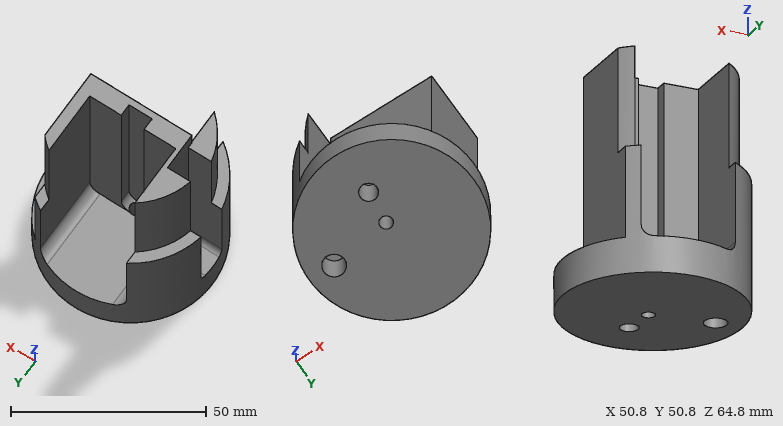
import cadquery as cq

base_height = 10.16
shoulder_height = 35.56
wedge_height = 60.2
top_height = 64.77

base_radius = 25.4
upper_radius = 22.225

tower_left = -14.6
tower_right = 16.65
tower_front = -6.35
wedge_right = -14.4

channel_width = 26.6
channel_front = -0.9
channel_fillet = 3.175

slot_width = 9.525
slot_fillet = 1.5875

groove_width = 7.1
groove_front = -4.5
groove_fillet = 3.175

slot_hole = (-17.8, 0.0, 6.35)
base_hole = (1.0, -12.1, 5.08)
groove_hole = (0.0, -2.55, 3.7)

clearance = 5.0


def block(x_min, x_max, y_min, y_max, z_min, z_max):
    """Box given by its limits along each axis."""
    size = (x_max - x_min, y_max - y_min, z_max - z_min)
    return cq.Workplane("XY").box(*size, centered=False).translate((x_min, y_min, z_min))


def stepped_column(height):
    """Column of base radius up to the shoulder and of smaller radius above it."""
    lower = cq.Workplane("XY").circle(base_radius).extrude(shoulder_height)
    return lower.union(cq.Workplane("XY").circle(upper_radius).extrude(height))


def tower():
    """Main walls, from the front wall back to the round outline."""
    walls = block(-base_radius, tower_right, tower_front, base_radius, 0, top_height)
    outer_front = block(-base_radius, tower_left, tower_front, 0, 0, top_height)
    return stepped_column(top_height).intersect(walls.cut(outer_front))


def wedge():
    """Shorter round segment in front of the slot."""
    segment = block(-base_radius, wedge_right, -base_radius, 0, 0, wedge_height)
    return stepped_column(wedge_height).intersect(segment)


def channel():
    """Wide channel with rounded floor corners."""
    half_width = channel_width / 2
    cutter = block(-half_width, half_width, channel_front, base_radius + clearance,
                   base_height, top_height + clearance)
    return cutter.edges("|Y and <Z").fillet(channel_fillet)


def slot():
    """Slot in the -X side with rounded floor corners."""
    half_width = slot_width / 2
    cutter = block(-base_radius - clearance, tower_left, -half_width, half_width,
                   base_height, top_height + clearance)
    return cutter.edges("|X and <Z").fillet(slot_fillet)


def groove():
    """Narrow groove in the channel's front wall with rounded floor corners."""
    half_width = groove_width / 2
    cutter = block(-half_width, half_width, groove_front, channel_front + clearance,
                   base_height, top_height + clearance)
    return cutter.edges("|Y and <Z").fillet(groove_fillet)


def through_hole(x, y, diameter):
    """Vertical drill through the base."""
    return cq.Workplane("XY").center(x, y).circle(diameter / 2).extrude(base_height + clearance)


body = cq.Workplane("XY").circle(base_radius).extrude(base_height)
body = body.union(tower()).union(wedge())
body = body.cut(channel()).cut(slot()).cut(groove())
for hole in (slot_hole, base_hole, groove_hole):
    body = body.cut(through_hole(*hole))

result = body